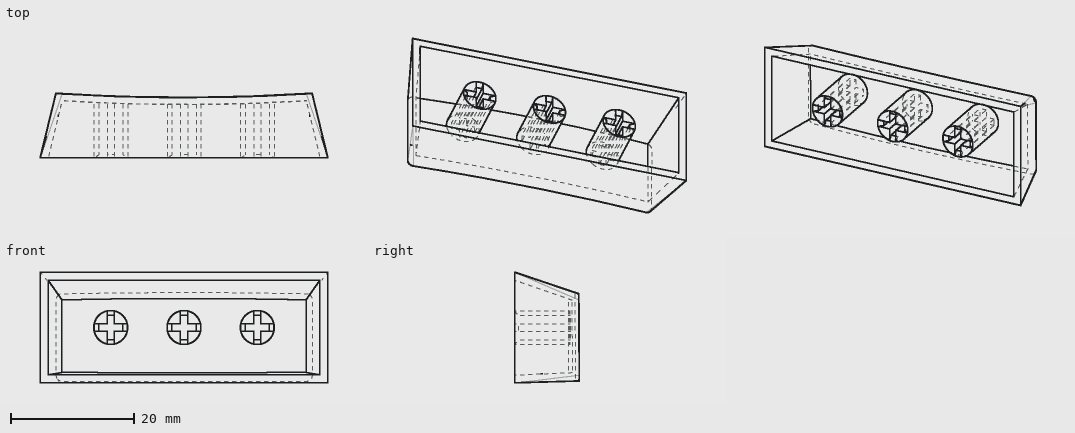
import cadquery as cq


RIM_WIDTH = 46.75
RIM_HEIGHT = 18.0
SHELL_DEPTH = 10.51
SIDE_INSET = 2.57
UPPER_INSET = 3.54
LOWER_INSET = 0.3
RIM_CORNER_RADIUS = 0.01
TOP_CORNER_RADIUS = 1.0

DISH_SAG = 0.68
DISH_TILT = 0.3
TOP_THICKNESS = 1.1

RIM_WALL = 1.3
CAVITY_SIDE_INSET = 2.55
CAVITY_UPPER_INSET = 3.63
CAVITY_LOWER_INSET = 0.46

STEM_COUNT = 3
STEM_PITCH = 11.9
STEM_DIAMETER = 5.5
CROSS_LENGTH = 3.9
CROSS_ARM_WIDTH = 1.15
CROSS_MOUTH_LENGTH = 5.42
CROSS_LEAD_DEPTH = 0.55

TOP_HALF_WIDTH = RIM_WIDTH / 2 - SIDE_INSET
DISH_PIVOT_Z = -RIM_HEIGHT / 2 + LOWER_INSET + TOP_CORNER_RADIUS
DISH_RADIUS = (TOP_HALF_WIDTH**2 + DISH_SAG**2) / (2 * DISH_SAG)

RIM_PLANE = cq.Plane(origin=(0, 0, 0), xDir=(1, 0, 0), normal=(0, -1, 0))


def rectangle(width, height, radius=0.0):
    """Rectangular outline, with rounded corners where a radius is given."""
    outline = cq.Sketch().rect(width, height)
    if radius > 0:
        outline = outline.vertices().fillet(radius)
    return outline


def tapered_body(width, height, side, upper, lower, near_radius=0.0, far_radius=0.0):
    """Body that narrows from the rim plane by the given insets over the shell depth."""
    far_z = (lower - upper) / 2
    near = rectangle(width, height, near_radius)
    far = rectangle(width - 2 * side, height - upper - lower, far_radius)
    far = far.moved(cq.Location(cq.Vector(0, far_z, -SHELL_DEPTH)))
    return cq.Workplane(RIM_PLANE).placeSketch(near, far).loft(ruled=True)


def dish_cutter(depth_offset):
    """Tilted cylinder that leaves the dished surface, moved toward the rim by an offset."""
    cylinder = cq.Workplane("XY").circle(DISH_RADIUS).extrude(2 * RIM_HEIGHT, both=True)
    crest_y = SHELL_DEPTH - DISH_SAG - depth_offset
    cylinder = cylinder.translate((0, crest_y + DISH_RADIUS, DISH_PIVOT_Z))
    pivot = (0, crest_y, DISH_PIVOT_Z)
    return cylinder.rotate(pivot, (1, crest_y, DISH_PIVOT_Z), DISH_TILT)


def make_shell_body():
    """Solid keycap before it is hollowed out."""
    body = tapered_body(
        RIM_WIDTH,
        RIM_HEIGHT,
        SIDE_INSET,
        UPPER_INSET,
        LOWER_INSET,
        RIM_CORNER_RADIUS,
        TOP_CORNER_RADIUS,
    )
    return body.cut(dish_cutter(0))


def make_cavity():
    """Sharp-cornered hollow whose floor follows the dished top."""
    cavity = tapered_body(
        RIM_WIDTH - 2 * RIM_WALL,
        RIM_HEIGHT - 2 * RIM_WALL,
        CAVITY_SIDE_INSET,
        CAVITY_UPPER_INSET,
        CAVITY_LOWER_INSET,
    )
    return cavity.cut(dish_cutter(TOP_THICKNESS))


def make_stem(x):
    """Round post from the rim plane inward, with its cross socket cut out."""
    post = cq.Workplane(RIM_PLANE).center(x, 0).circle(STEM_DIAMETER / 2).extrude(-SHELL_DEPTH)
    return post.cut(make_cross_slot(x))


def make_cross_slot(x):
    """Cross-shaped socket whose arms lengthen toward the mouth to guide the switch in."""
    half_mouth = CROSS_MOUTH_LENGTH / 2
    half_length = CROSS_LENGTH / 2
    arm_profile = [
        (-half_mouth, 0),
        (half_mouth, 0),
        (half_length, CROSS_LEAD_DEPTH),
        (half_length, SHELL_DEPTH),
        (-half_length, SHELL_DEPTH),
        (-half_length, CROSS_LEAD_DEPTH),
    ]
    arm = cq.Workplane("XY").polyline(arm_profile).close().extrude(CROSS_ARM_WIDTH / 2, both=True)
    cross = arm.union(arm.rotate((0, 0, 0), (0, 1, 0), 90))
    return cross.translate((x, 0, 0))


cavity = make_cavity()
result = make_shell_body().cut(cavity)
for index in range(STEM_COUNT):
    stem_x = (index - (STEM_COUNT - 1) / 2) * STEM_PITCH
    stem = make_stem(stem_x).intersect(cavity)
    result = result.union(stem)